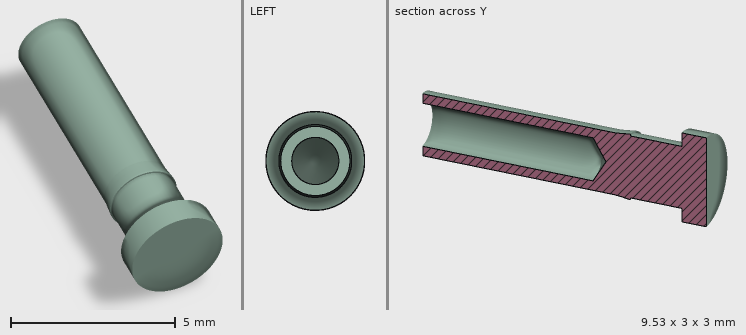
import cadquery as cq
import math

total_length = 9.53
head_diameter = 3.0
head_thickness = 0.83
shank_diameter = 2.1

ring_diameter = 2.21
ring_start = 6.44
ring_taper_length = 0.49
ring_land_length = 0.06

bore_diameter = 1.43
bore_depth = 5.72
drill_point_angle = 118.0

head_radius = head_diameter / 2
shank_radius = shank_diameter / 2
ring_radius = ring_diameter / 2
bore_radius = bore_diameter / 2

head_start = total_length - head_thickness
ring_land_start = ring_start + ring_taper_length
ring_end = ring_land_start + ring_land_length
drill_point_length = bore_radius / math.tan(math.radians(drill_point_angle / 2))


def revolve_about_x(points):
    """Revolve a closed (x, radius) outline around the X axis."""
    outline = cq.Workplane("XY").polyline(points).close()
    return outline.revolve(360, (0, 0, 0), (1, 0, 0))


pin = revolve_about_x([
    (0, 0),
    (0, shank_radius),
    (ring_start, shank_radius),
    (ring_land_start, ring_radius),
    (ring_end, ring_radius),
    (ring_end, shank_radius),
    (head_start, shank_radius),
    (head_start, head_radius),
    (total_length, head_radius),
    (total_length, 0),
])

bore = revolve_about_x([
    (0, 0),
    (0, bore_radius),
    (bore_depth, bore_radius),
    (bore_depth + drill_point_length, 0),
])

result = pin.cut(bore)